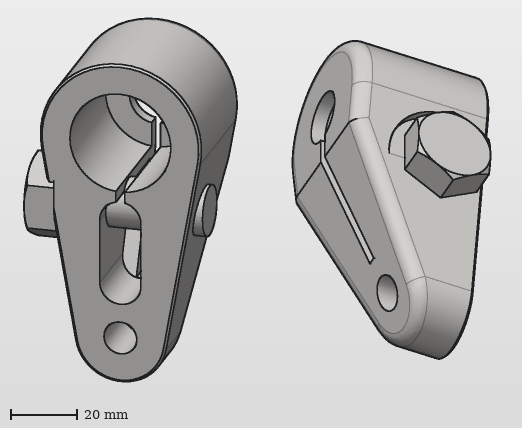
import cadquery as cq
import math

total_length = 103.2
depth = 43.9
hub_radius = 25.4
tip_radius = 14.4
tip_z = -(total_length - hub_radius - tip_radius)
rear_fillet = 4.6
front_chamfer = 0.7

bore_radius = 15.9
rear_hole_radius = 8.4
rear_wall = 4.6
tip_hole_radius = 5.2

slope_start_z = -17.1
slope_angle = 25.0

slot_width = 13.0
slot_top_z = -19.2
slot_bottom_z = -52.4
slit_width = 2.8
slit_bottom_z = -52.2

bolt_y = 14.3
bolt_z = -24.8
bolt_radius = 7.9
bolt_end_x = 24.0
seat_x = -21.1
seat_radius = 17.3
head_height = 10.0
head_across_flats = 24.0
head_chamfer_angle = 30.0

margin = 10.3


def cylinder_y(radius, z, start, end):
    """Cylinder along +Y, centred on x = 0."""
    return cq.Workplane("XY").add(
        cq.Solid.makeCylinder(radius, end - start, cq.Vector(0, start, z), cq.Vector(0, 1, 0))
    )


def cylinder_x(radius, start, end):
    """Cylinder along +X on the bolt axis."""
    return cq.Workplane("XY").add(
        cq.Solid.makeCylinder(radius, end - start, cq.Vector(start, bolt_y, bolt_z), cq.Vector(1, 0, 0))
    )


def side_profile(wall):
    """Area in the YZ plane that lies the given wall thickness inside the rear faces."""
    slope = math.radians(slope_angle)
    rear_y = depth - wall
    kink_z = slope_start_z + wall * math.tan(slope / 2)
    bottom_z = tip_z - tip_radius - margin
    bottom_y = rear_y - (kink_z - bottom_z) * math.tan(slope)
    top_z = hub_radius + margin
    return (
        cq.Workplane("YZ")
        .polyline([(0, top_z), (rear_y, top_z), (rear_y, kink_z), (bottom_y, bottom_z), (0, bottom_z)])
        .close()
        .extrude(hub_radius + margin, both=True)
    )


def make_body():
    """Two arcs joined by tangent lines, sloped at the rear and eased at both faces."""
    tangent_sin = (hub_radius - tip_radius) / -tip_z
    tangent_cos = math.sqrt(1 - tangent_sin**2)
    hub_x = hub_radius * tangent_cos
    hub_z = -hub_radius * tangent_sin
    tip_x = tip_radius * tangent_cos
    tip_side_z = tip_z - tip_radius * tangent_sin
    body = (
        cq.Workplane("XZ")
        .moveTo(-hub_x, hub_z)
        .threePointArc((0, hub_radius), (hub_x, hub_z))
        .lineTo(tip_x, tip_side_z)
        .threePointArc((0, tip_z - tip_radius), (-tip_x, tip_side_z))
        .close()
        .extrude(-depth)
        .intersect(side_profile(0))
    )
    body = body.faces("<Y").edges().chamfer(front_chamfer)
    rear_edges = body.faces(">Y").edges("not(<Z)")
    slope_normal = cq.Vector(
        0, math.cos(math.radians(slope_angle)), -math.sin(math.radians(slope_angle))
    )
    slope_face = body.faces(cq.DirectionMinMaxSelector(slope_normal))
    slope_edges = slope_face.edges("not(>Z)")
    return body.newObject(rear_edges.vals() + slope_edges.vals()).fillet(rear_fillet)


def make_slot():
    """Round-ended slot whose floor keeps an even wall to the rear faces."""
    length = slot_top_z - slot_bottom_z
    return (
        cq.Workplane("XZ")
        .center(0, (slot_top_z + slot_bottom_z) / 2)
        .slot2D(length, slot_width, 90)
        .extrude(-depth)
        .intersect(side_profile(rear_wall))
    )


def make_slit():
    """Clamping slit from the bore down to just short of the slot end, open front to rear."""
    return cq.Workplane("XY").box(
        slit_width, depth + margin, -slit_bottom_z, centered=(True, False, False)
    ).translate((0, -margin / 2, slit_bottom_z))


def make_bolt():
    """Hexagon-head bolt with its head on the -X side."""
    head_x = seat_x - head_height
    hexagon = (
        cq.Workplane("YZ", origin=(head_x, bolt_y, bolt_z))
        .polygon(6, head_across_flats, circumscribed=True)
        .extrude(head_height)
    )
    face_radius = head_across_flats / 2
    base_radius = face_radius + head_height / math.tan(math.radians(head_chamfer_angle))
    cone = cq.Workplane("XY").add(
        cq.Solid.makeCone(
            face_radius,
            base_radius,
            head_height,
            cq.Vector(head_x, bolt_y, bolt_z),
            cq.Vector(1, 0, 0),
        )
    )
    return hexagon.intersect(cone).union(cylinder_x(bolt_radius, seat_x, bolt_end_x))


bore = cylinder_y(bore_radius, 0, 0, depth - rear_wall)
rear_hole = cylinder_y(rear_hole_radius, 0, 0, depth)
tip_hole = cylinder_y(tip_hole_radius, tip_z, 0, depth)
bolt_seat = cylinder_x(seat_radius, -hub_radius - margin, seat_x)

result = make_body()
for cutter in (bore, rear_hole, tip_hole, make_slot(), make_slit(), bolt_seat):
    result = result.cut(cutter)
result = result.union(make_bolt())